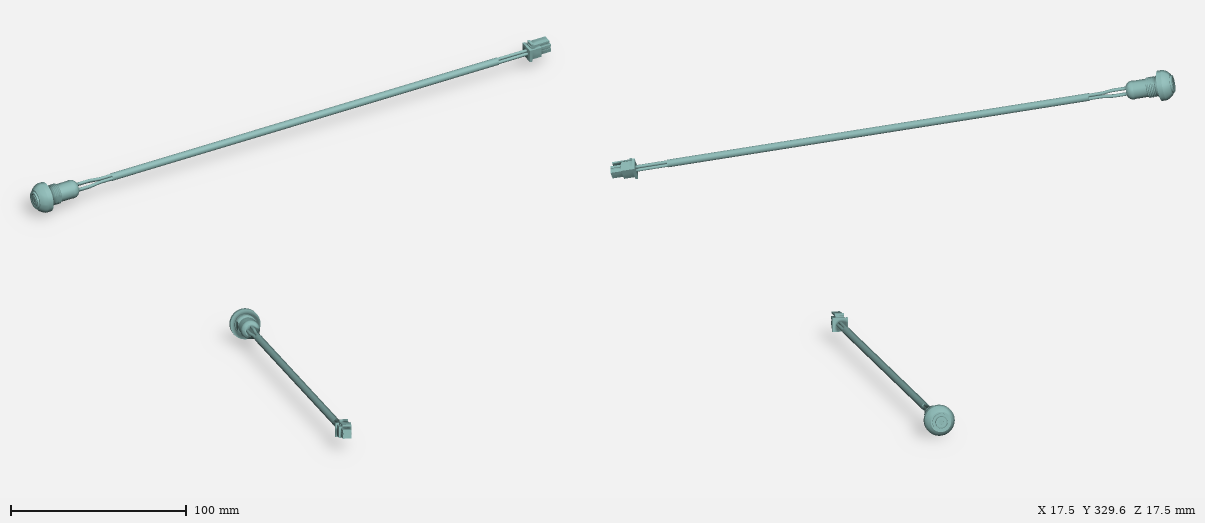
import cadquery as cq
import math

overall_length = 329.6
head_front = -8.1
plug_rear = overall_length + head_front
cable_front = 41.3
cable_rear = plug_rear - 33.0

flange_diameter = 17.5
flange_thickness = 3.0
dome_end_diameter = 11.8
dome_bulge = 0.3
face_diameter = 10.0
face_height = 1.0
seat_diameter = 12.6
seat_length = 1.0
thread_diameter = 12.0
thread_root_diameter = 11.0
thread_end = 7.0
thread_pitch = 1.0
barrel_diameter = 10.5
barrel_end = 14.6
shell_end = 19.0
shell_end_diameter = 7.34
shell_bulge = 0.6
thread_flat_width = barrel_diameter
center_diameter = 6.2
center_gap_diameter = 7.34
center_gap_depth = 1.0
center_dimple_diameter = 3.05
center_dimple_depth = 0.3

jacket_diameter = 4.4
wire_count = 4
wire_diameter = 1.76
wire_core_radius = (jacket_diameter - wire_diameter) / 2
wire_head_radius = 2.3
wire_spread_start = 26.0
wire_spread_length = 9.0
wire_seat_depth = 2.0
wire_overlap = 2.0

nose_width = 5.0
nose_height = 5.0
nose_length = 6.5
nose_groove_height = 1.2
nose_groove_depth = 0.4
nose_groove_center = 0.4
shroud_width = 7.2
shroud_height = 6.4
shroud_length = 6.5
collar_width = 9.0
collar_height = 8.0
collar_length = 1.5
latch_width = nose_width
latch_thickness = 1.0
latch_top = 5.4
latch_rear_setback = 1.0
latch_length = 11.5
lip_length = 1.4
lip_height = 0.9
post_length = 3.0

shroud_rear = plug_rear - nose_length
collar_rear = shroud_rear - shroud_length
collar_front = collar_rear - collar_length


def cylinder(diameter, start, end, x=0, z=0):
    """Cylinder along +Y between two stations."""
    return cq.Workplane("XZ", origin=(x, start, z)).circle(diameter / 2).extrude(start - end)


def block(width, height, start, end, x=0, z=0):
    """Box centred on (x, z), spanning two stations along Y."""
    length = end - start
    return cq.Workplane("XY").box(width, length, height).translate((x, start + length / 2, z))


def outward_arc_middle(start, end, bulge):
    """Point outside the middle of a (radius, y) chord, away from the axis and the flange rear face."""
    middle_radius = (start[0] + end[0]) / 2
    middle_y = (start[1] + end[1]) / 2
    outward_y = math.copysign(bulge, middle_y)
    return (middle_radius + bulge, middle_y + outward_y)


def front_wire(angle):
    """Wire that leaves the head and gathers into the cable core."""
    across, up = math.cos(angle), math.sin(angle)
    head_x, head_z = wire_head_radius * across, wire_head_radius * up
    core_x, core_z = wire_core_radius * across, wire_core_radius * up
    gather = wire_spread_start + wire_spread_length
    along = cq.Vector(0, 1, 0)
    route = cq.Edge.makeSpline(
        [cq.Vector(head_x, wire_spread_start, head_z), cq.Vector(core_x, gather, core_z)],
        tangents=[along, along],
    )
    bend_start = cq.Workplane("XZ", origin=(head_x, wire_spread_start, head_z))
    bend = bend_start.circle(wire_diameter / 2).sweep(cq.Workplane(route))
    lead = cylinder(wire_diameter, shell_end - wire_seat_depth, wire_spread_start, head_x, head_z)
    core = cylinder(wire_diameter, gather, cable_front + wire_overlap, core_x, core_z)
    return lead.union(bend).union(core)


def rear_wire(angle):
    """Straight wire from the cable core into the plug collar."""
    core_x = wire_core_radius * math.cos(angle)
    core_z = wire_core_radius * math.sin(angle)
    return cylinder(wire_diameter, collar_rear, cable_rear - wire_overlap, core_x, core_z)


wire_angles = [2 * math.pi * i / wire_count for i in range(wire_count)]
front_wires = [front_wire(angle) for angle in wire_angles]


def head_blank():
    dome_start = (flange_diameter / 2, -flange_thickness)
    dome_end = (dome_end_diameter / 2, head_front + face_height)
    shell_start = (barrel_diameter / 2, barrel_end)
    shell_tip = (shell_end_diameter / 2, shell_end)
    profile = (
        cq.Workplane("XY")
        .moveTo(0, head_front)
        .lineTo(face_diameter / 2, head_front)
        .lineTo(face_diameter / 2, head_front + face_height)
        .lineTo(*dome_end)
        .threePointArc(outward_arc_middle(dome_start, dome_end, dome_bulge), dome_start)
        .lineTo(flange_diameter / 2, 0)
        .lineTo(seat_diameter / 2, 0)
        .lineTo(seat_diameter / 2, seat_length)
        .lineTo(thread_root_diameter / 2, seat_length)
    )
    for turn in range(round((thread_end - seat_length) / thread_pitch)):
        ridge_start = seat_length + turn * thread_pitch
        profile = profile.lineTo(thread_diameter / 2, ridge_start + thread_pitch / 2)
        profile = profile.lineTo(thread_root_diameter / 2, ridge_start + thread_pitch)
    profile = (
        profile.lineTo(barrel_diameter / 2, thread_end)
        .lineTo(*shell_start)
        .threePointArc(outward_arc_middle(shell_start, shell_tip, shell_bulge), shell_tip)
        .lineTo(0, shell_end)
        .close()
    )
    return profile.revolve(360, (0, 0, 0), (0, 1, 0))


def thread_flats():
    """Cutters for the flats on the two X sides of the thread."""
    return [
        block(thread_diameter / 2, thread_diameter, seat_length, thread_end,
              x=side * (thread_flat_width / 2 + thread_diameter / 4))
        for side in (-1, 1)
    ]


def face_recesses():
    """Cutter for the ring gap and the dimple in the middle of the face."""
    gap_floor = head_front + center_gap_depth
    gap = cylinder(center_gap_diameter, head_front, gap_floor)
    gap = gap.cut(cylinder(center_diameter, head_front, gap_floor))
    return gap.union(cylinder(center_dimple_diameter, head_front, head_front + center_dimple_depth))


def make_head():
    head = head_blank().cut(face_recesses())
    for flat in thread_flats():
        head = head.cut(flat)
    for wire in front_wires:
        head = head.cut(wire)
    return head


def make_nose():
    nose = block(nose_width, nose_height, shroud_rear, plug_rear)
    for side in (-1, 1):
        nose = nose.cut(
            block(2 * nose_groove_depth, nose_groove_height, shroud_rear, plug_rear,
                  x=side * nose_width / 2, z=nose_groove_center)
        )
    return nose


def make_latch():
    """Arm above the plug, with a thumb lip at its front and a post down to the shroud."""
    arm_middle = latch_top - latch_thickness / 2
    arm_rear = plug_rear - latch_rear_setback
    arm_front = arm_rear - latch_length
    arm = block(latch_width, latch_thickness, arm_front, arm_rear, z=arm_middle)
    lip = block(latch_width, lip_height, arm_front, arm_front + lip_length, z=latch_top + lip_height / 2)
    post = block(latch_width, arm_middle, collar_rear, collar_rear + post_length, z=arm_middle / 2)
    return arm.union(lip).union(post)


def make_plug():
    collar = block(collar_width, collar_height, collar_front, collar_rear)
    shroud = block(shroud_width, shroud_height, collar_rear, shroud_rear)
    return collar.union(shroud).union(make_nose()).union(make_latch())


def make_harness():
    harness = cylinder(jacket_diameter, cable_front, cable_rear).union(make_plug())
    for wire in front_wires:
        harness = harness.union(wire)
    for angle in wire_angles:
        harness = harness.union(rear_wire(angle))
    return harness


head = make_head()
harness = make_harness()
result = cq.Compound.makeCompound([head.solids().val(), harness.solids().val()])